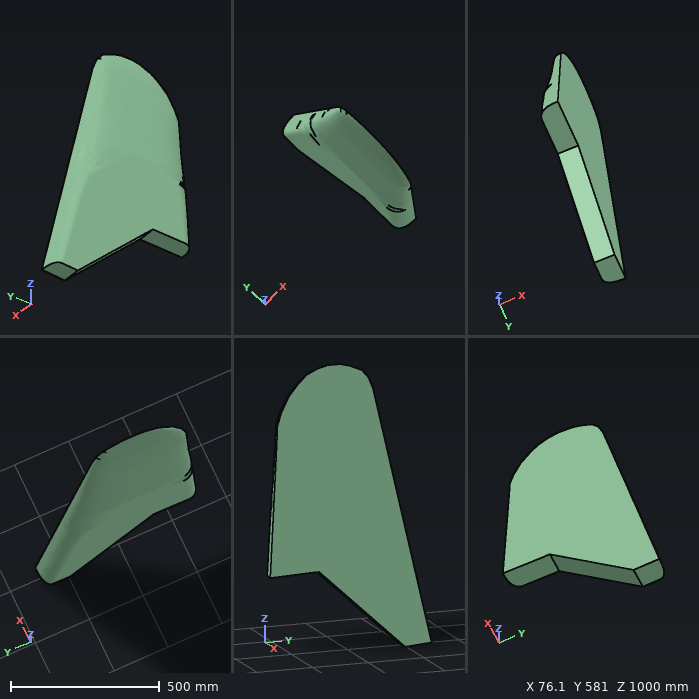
import cadquery as cq
import math

height = 1000.0
back_x = 76.0
crest_y = 284.0
crest_half_width = 1.0
split_thickness = 53.0
split_z = 753.0

heel_z = 279.0
lead_at_split = 24.0
lead_slope = lead_at_split / (split_z - heel_z)
toe_y = 581.0
toe_z = 7.0
trail_at_split = 406.0
trail_slope = (trail_at_split - toe_y) / (split_z - toe_z)

notch_y = 175.0
notch_z = 286.0
foot_point_y = 485.0

narrow_exponent = 2.2
exponent_per_run = 0.006998
quarter_steps = 8


def lead_y(z):
    return lead_slope * (z - heel_z)


def trail_y(z):
    return toe_y + trail_slope * (z - toe_z)


def quarter_points(edge, crest, thickness):
    """Superellipse points from the sharp edge on the back face up to the crest."""
    run = crest - edge
    power = 2 / (narrow_exponent + exponent_per_run * abs(run))
    points = [(back_x, edge)]
    for step in range(1, quarter_steps):
        angle = math.pi / 2 * step / quarter_steps
        points.append((
            back_x - thickness * math.sin(angle) ** power,
            crest - run * math.cos(angle) ** power,
        ))
    points.append((back_x - thickness, crest))
    return points


def section(z, lead, trail, thickness, crest_front, crest_rear):
    """Half airfoil: front quarter, flat crest and rear quarter."""
    front = quarter_points(lead, crest_front, thickness)
    rear = quarter_points(trail, crest_rear, thickness)
    rear.reverse()
    outline = cq.Workplane("XY", origin=(0, 0, z)).spline(front).lineTo(*rear[0])
    return outline.spline(rear).close().val()


body_stations = [
    (0.0, back_x, 30.0, 549.0),
    (300.0, back_x, 48.0, 470.0),
    (405.0, back_x, 58.0, 428.0),
    (510.0, back_x, 79.0, 319.0),
    (530.0, back_x, 160.0, 300.0),
    (559.0, back_x, 220.0, 258.0),
    (split_z, split_thickness, crest_y - crest_half_width, crest_y + crest_half_width),
]
body_sections = [
    section(z, lead_y(z), trail_y(z), thickness, front, rear)
    for z, thickness, front, rear in body_stations
]
body = cq.Workplane(cq.Solid.makeLoft(body_sections, True))

edge_thickness = 0.5
tip_stations = [
    (split_z, lead_at_split, trail_at_split, split_thickness, crest_y),
    (805.0, 26.0, trail_y(805.0), 47.0, crest_y),
    (850.0, 40.0, trail_y(850.0), 40.0, crest_y),
    (904.0, 67.0, trail_y(904.0), 31.0, crest_y),
    (945.0, 101.0, 354.0, 20.0, 275.0),
    (973.0, 131.0, 330.0, 11.0, 260.0),
    (992.0, 171.0, 285.0, 4.0, 240.0),
    (height, 204.0, 252.0, edge_thickness, 230.0),
]
tip_sections = [
    section(z, lead, trail, thickness, crest - crest_half_width, crest + crest_half_width)
    for z, lead, trail, thickness, crest in tip_stations
]
tip = cq.Workplane(cq.Solid.makeLoft(tip_sections, True))

margin = 50.0
foot_cutter = (
    cq.Workplane("YZ", origin=(-margin, 0, 0))
    .polyline([
        (-margin, heel_z), (0, heel_z), (notch_y, notch_z), (foot_point_y, 0),
        (toe_y, toe_z), (toe_y + margin, toe_z), (toe_y + margin, -margin), (-margin, -margin),
    ])
    .close()
    .extrude(back_x + 2 * margin)
)

result = body.union(tip).cut(foot_cutter)